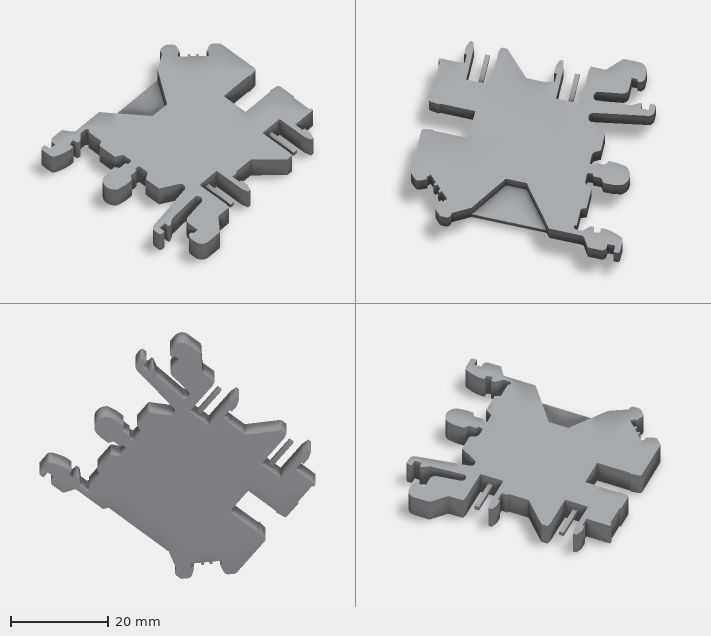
import cadquery as cq
import math


width = 42.45
height = 45.9
thickness = 5.1

side_x = 2.3
shelf_x = 3.25
edge_x = 39.3
land_y = 8.85
relief_y = 10.45
arm_y = 10.0
arm_right_x = 3.4
land_left_x = 8.5
land_slope = 0.5
arm_relief_width = 0.95
head_low_y = 37.85
head_top_x = height - head_low_y
head_round = 0.3
head_round_run = head_round * math.sqrt(0.5)
cheek_low_y = 36.67
chin_x = 1.15
chin_y = 35.75
waist_x = 33.85
waist_low_y = 22.9
waist_high_y = 27.45
shoulder_y = 32.65
back_x = 34.15

bay_x = 30.75
bay_height = 5.15
bay_pitch = 19.0
bay_low_y = 15.3
bay_bottoms = [bay_low_y, bay_low_y + bay_pitch]
lead_in_run = 0.95
lead_in_drop = 0.28
finger_thickness = 1.1
finger_barb = 0.55
finger_barb_x = 36.2
finger_taper_x = 37.85
finger_tip_low = 0.35
pin_size = 1.0
pin_right_x = 37.85
pin_above_bay = 1.75

slot_left_x = 18.18
slot_right_x = 24.33
slot_floor_y = 36.05
lip_y = 43.6
lip_reach = 0.25
mouth_radius = 0.55
step_left_x = 28.65
step_right_x = 33.45
step_depth = 0.3

notch_centre = (6.3, 39.55)
notch_half = 3.15
notch_step = 1.1
notch_lip_half = 2.7
notch_tip = (3.2, 2.45)
notch_cheek = (3.45, 2.9)
notch_cheek_mid = (3.7, 3.1)
notch_mouth_half = 4.15
notch_depth = 3.2
rib_pitch = 1.75
rib_width = 0.55
rib_length = 0.55

pocket_floor_z = 1.5
pocket_right_x = 11.1
pocket_top_y = 32.0
pocket_inner_top_y = 26.55
pocket_inner_low_y = 22.12
pocket_low_y = 16.1
pocket_exit_x = 2.5
pocket_exit_y = 15.5
pocket_round_y = 14.85

foot_x = 17.15
neck_half = 1.0
neck_fillet = 0.4
neck_low_y = 9.3
stem_half = 1.5
stem_top_y = 9.2
stem_low_y = 7.4
bulb_half = 2.5
bulb_top_y = 6.75
bulb_side_y = 4.9
bulb_low_half = 2.15
bulb_low_y = 3.05
bulb_bottom_y = 1.75
bulb_rise = bulb_low_y - bulb_bottom_y
bulb_radius = (bulb_low_half**2 + bulb_rise**2) / (2 * bulb_rise)

relief_x = 17.25
relief_half = 2.9
flank_half = 3.7
flank_y = 10.0
land_half = 4.3

land_right_x = 25.35
gap_y = 12.4
gap_rise = 0.65
gap_width = 1.95
spring_left_x = 29.35
spring_right_x = 32.2
hook_left_x = spring_right_x + gap_width

toe_top_y = 1.3
notch_top_y = 2.9

ankle_y = 8.55
ankle_turn_x = 1.8
ankle_turn_y = 7.8
instep_x = 0.15
instep_y = 6.75
foot_top_y = 6.5
heel_radius = 1.0
left_notch_x = 1.65
left_toe_x = 0.2
toe_radius = 0.5
sole_right_x = 3.0
sole_corner = (3.8, 0.5)
shin_mid = (4.45, 2.15)
shin_x = 4.8
shin_y = 3.95
groove_low_x = 3.75
groove_low_y = 4.95
groove_high_x = 3.55
groove_high_y = 6.2
catch_x = 4.75
catch_low_y = 6.43
catch_high_y = 7.2
lead_in_y = 8.6

spring_heel_x = 31.25
spring_heel_y = 1.0
spring_sole_x = 32.45
spring_toe_x = 34.0
toe_chamfer = 0.3
spring_notch_x = 32.55
spring_catch_x = 33.7
spring_catch_y = 3.35
spring_calf_x = 32.75
spring_calf_y = 4.95

hook_heel_x = 34.9
hook_heel_y = 7.35
hook_rail_x = 36.1
hook_rail_y = 6.25
hook_throat_x = 38.7
hook_throat_y = 5.05
hook_tip_x = 38.2
hook_tip_high_y = 4.85
hook_tip_low_y = 4.18
hook_nose_x = 38.55
hook_nose_y = 3.8
hook_sole_x = 39.47
hook_sole_y = 3.55
hook_radius = 1.95
hook_shoulder_y = 8.55
hook_slope_low_x = 41.95
hook_slope_low_y = 9.35
hook_slope_high_x = 39.55
hook_slope_high_y = 11.55
hook_top_y = 11.95


def plate(outline, depth=thickness):
    """Close an XY outline and extrude it upwards."""
    return outline.close().extrude(depth)


def polygon(points, depth=thickness):
    """Extrude a straight-sided outline upwards."""
    return plate(cq.Workplane("XY").polyline(points), depth)


def make_housing():
    gap_left_x = spring_left_x - gap_width
    outline = (
        cq.Workplane("XY")
        .moveTo(side_x, arm_y)
        .lineTo(arm_right_x, arm_y)
        .threePointArc(
            (arm_right_x + arm_relief_width / 2, relief_y),
            (arm_right_x + arm_relief_width, arm_y),
        )
        .lineTo(land_left_x - land_slope, arm_y)
        .lineTo(land_left_x, land_y)
        .lineTo(relief_x - land_half, land_y)
        .lineTo(relief_x - flank_half, flank_y)
        .tangentArcPoint((relief_x - relief_half, relief_y), relative=False)
        .lineTo(relief_x + relief_half, relief_y)
        .tangentArcPoint((relief_x + flank_half, flank_y), relative=False)
        .lineTo(relief_x + land_half, land_y)
        .lineTo(land_right_x, land_y)
        .lineTo(gap_left_x, gap_y)
        .threePointArc((gap_left_x + gap_width / 2, gap_y + gap_rise), (spring_left_x, gap_y))
        .lineTo(spring_right_x, gap_y)
        .threePointArc((spring_right_x + gap_width / 2, gap_y + gap_rise), (hook_left_x, gap_y))
        .lineTo(edge_x, gap_y)
    )
    for bay_y in bay_bottoms:
        outline = (
            outline
            .lineTo(edge_x, bay_y - lead_in_drop)
            .lineTo(edge_x - lead_in_run, bay_y)
            .lineTo(bay_x, bay_y)
            .lineTo(bay_x, bay_y + bay_height)
            .lineTo(back_x, bay_y + bay_height)
        )
        if bay_y == bay_low_y:
            outline = (
                outline
                .lineTo(back_x, waist_low_y)
                .lineTo(waist_x, waist_low_y)
                .lineTo(waist_x, waist_high_y)
                .lineTo(edge_x, shoulder_y)
            )
    outline = (
        outline
        .lineTo(back_x, height)
        .lineTo(head_top_x + head_round, height)
        .tangentArcPoint((head_top_x - head_round_run, height - head_round_run), relative=False)
        .lineTo(head_round_run, head_low_y + head_round_run)
        .tangentArcPoint((0, head_low_y - head_round), relative=False)
        .lineTo(0, cheek_low_y)
        .tangentArcPoint((chin_x, chin_y), relative=False)
        .lineTo(shelf_x, pocket_top_y)
        .lineTo(shelf_x, pocket_low_y)
        .lineTo(pocket_exit_x, pocket_exit_y)
        .tangentArcPoint((side_x, pocket_round_y), relative=False)
    )
    return plate(outline)


def make_finger(bay_y):
    """Barbed finger along the upper side of a bay."""
    low_y = bay_y + bay_height
    top_y = low_y + finger_thickness
    barb_y = top_y + finger_barb
    return polygon([
        (bay_x, low_y),
        (finger_taper_x, low_y),
        (edge_x, low_y + finger_tip_low),
        (edge_x, top_y),
        (finger_taper_x, barb_y),
        (finger_barb_x, barb_y),
        (finger_barb_x, top_y),
        (bay_x, top_y),
    ])


def make_pin(bay_y):
    """Square contact pin at mid thickness, crossing a bay from its back wall."""
    return cq.Workplane("XY").box(
        pin_right_x - bay_x, pin_size, pin_size, centered=(False, False, True)
    ).translate((bay_x, bay_y + pin_above_bay, thickness / 2))


def make_wire_slot():
    """Slot from the top edge, narrowed at its mouth by two tapered lips."""
    round_y = height - mouth_radius
    outline = (
        cq.Workplane("XY")
        .moveTo(slot_left_x - mouth_radius, height)
        .radiusArc((slot_left_x, round_y), mouth_radius)
        .lineTo(slot_left_x + lip_reach, lip_y)
        .lineTo(slot_left_x, lip_y)
        .lineTo(slot_left_x, slot_floor_y)
        .lineTo(slot_right_x, slot_floor_y)
        .lineTo(slot_right_x, lip_y)
        .lineTo(slot_right_x - lip_reach, lip_y)
        .lineTo(slot_right_x, round_y)
        .radiusArc((slot_right_x + mouth_radius, height), mouth_radius)
    )
    return plate(outline)


def make_top_step():
    return cq.Workplane("XY").box(
        step_right_x - step_left_x, step_depth, thickness, centered=False
    ).translate((step_left_x, height - step_depth, 0))


def head_plane():
    """Plane with x along the slanted head and y pointing out of it."""
    return cq.Workplane(cq.Plane(origin=(*notch_centre, 0), xDir=(1, 1, 0), normal=(0, 0, 1)))


def make_marker_notch():
    tip_x, tip_y = notch_tip
    cheek_x, cheek_y = notch_cheek
    mid_x, mid_y = notch_cheek_mid
    clear_y = notch_depth + 0.45
    outline = (
        head_plane()
        .moveTo(-notch_half, 0)
        .lineTo(notch_half, 0)
        .lineTo(notch_half, notch_step)
        .lineTo(notch_lip_half, notch_step)
        .lineTo(tip_x, tip_y)
        .lineTo(cheek_x, cheek_y)
        .threePointArc((mid_x, mid_y), (notch_mouth_half, notch_depth))
        .lineTo(notch_mouth_half, clear_y)
        .lineTo(-notch_mouth_half, clear_y)
        .lineTo(-notch_mouth_half, notch_depth)
        .threePointArc((-mid_x, mid_y), (-cheek_x, cheek_y))
        .lineTo(-tip_x, tip_y)
        .lineTo(-notch_lip_half, notch_step)
        .lineTo(-notch_half, notch_step)
    )
    return plate(outline)


def make_marker_ribs():
    """Two ribs on the notch floor, sunk slightly into it."""
    sink = 0.25
    return (
        head_plane()
        .center(0, (rib_length - sink) / 2)
        .rarray(rib_pitch, 0.45, 2, 1)
        .rect(rib_width, rib_length + sink)
        .extrude(thickness)
    )


def make_pocket():
    return polygon([
        (shelf_x, pocket_top_y),
        (pocket_right_x, pocket_inner_top_y),
        (pocket_right_x, pocket_inner_low_y),
        (shelf_x, pocket_low_y),
    ]).translate((0, 0, pocket_floor_z))


def make_left_foot():
    outline = (
        cq.Workplane("XY")
        .moveTo(arm_right_x, arm_y)
        .lineTo(side_x, arm_y)
        .lineTo(side_x, ankle_y)
        .tangentArcPoint((ankle_turn_x, ankle_turn_y), relative=False)
        .lineTo(instep_x, instep_y)
        .tangentArcPoint((0, foot_top_y), relative=False)
        .lineTo(0, notch_top_y + heel_radius)
        .tangentArcPoint((heel_radius, notch_top_y), relative=False)
        .lineTo(left_notch_x, notch_top_y)
        .lineTo(left_notch_x, toe_top_y)
        .lineTo(left_toe_x, toe_top_y)
        .lineTo(left_toe_x, toe_radius)
        .tangentArcPoint((left_toe_x + toe_radius, 0), relative=False)
        .lineTo(sole_right_x, 0)
        .tangentArcPoint(sole_corner, relative=False)
        .threePointArc(shin_mid, (shin_x, shin_y))
        .lineTo(shin_x, groove_low_y)
        .lineTo(groove_low_x, groove_low_y)
        .lineTo(groove_high_x, groove_high_y)
        .lineTo(catch_x, catch_low_y)
        .lineTo(catch_x, catch_high_y)
        .lineTo(arm_right_x, lead_in_y)
    )
    return plate(outline)


def make_centre_foot():
    """Bulb on a stepped neck; the right half is drawn and mirrored."""
    half = (
        cq.Workplane("XY")
        .moveTo(0, relief_y)
        .lineTo(neck_half + neck_fillet, relief_y)
        .radiusArc((neck_half, relief_y - neck_fillet), -neck_fillet)
        .lineTo(neck_half, neck_low_y)
        .lineTo(stem_half, stem_top_y)
        .lineTo(stem_half, stem_low_y)
        .lineTo(bulb_half, bulb_top_y)
        .lineTo(bulb_half, bulb_side_y)
        .lineTo(bulb_low_half, bulb_low_y)
        .radiusArc((0, bulb_bottom_y), bulb_radius)
    )
    half = plate(half)
    return half.union(half.mirror("YZ")).translate((foot_x, 0, 0))


def make_spring_leg():
    outline = (
        cq.Workplane("XY")
        .moveTo(spring_left_x, gap_y)
        .lineTo(spring_heel_x, spring_heel_y)
        .tangentArcPoint((spring_sole_x, 0), relative=False)
        .lineTo(spring_toe_x - toe_chamfer, 0)
        .lineTo(spring_toe_x, toe_chamfer)
        .lineTo(spring_toe_x, toe_top_y)
        .lineTo(spring_notch_x, toe_top_y)
        .lineTo(spring_notch_x, notch_top_y)
        .lineTo(spring_catch_x, notch_top_y)
        .lineTo(spring_catch_x, spring_catch_y)
        .lineTo(spring_calf_x, spring_calf_y)
        .lineTo(spring_right_x, gap_y)
    )
    return plate(outline)


def make_hook_leg():
    outline = (
        cq.Workplane("XY")
        .moveTo(hook_left_x, gap_y)
        .lineTo(hook_heel_x, hook_heel_y)
        .tangentArcPoint((hook_rail_x, hook_rail_y), relative=False)
        .lineTo(hook_throat_x, hook_rail_y)
        .lineTo(hook_throat_x, hook_throat_y)
        .lineTo(hook_tip_x, hook_tip_high_y)
        .lineTo(hook_tip_x, hook_tip_low_y)
        .lineTo(hook_nose_x, hook_nose_y)
        .tangentArcPoint((hook_sole_x, hook_sole_y), relative=False)
        .lineTo(width - hook_radius, hook_sole_y)
        .tangentArcPoint((width, hook_sole_y + hook_radius), relative=False)
        .lineTo(width, hook_shoulder_y)
        .tangentArcPoint((hook_slope_low_x, hook_slope_low_y), relative=False)
        .lineTo(hook_slope_high_x, hook_slope_high_y)
        .lineTo(edge_x, hook_top_y)
        .lineTo(edge_x, gap_y)
    )
    return plate(outline)


result = (
    make_housing()
    .cut(make_wire_slot())
    .cut(make_top_step())
    .cut(make_marker_notch())
    .cut(make_pocket())
    .union(make_marker_ribs())
    .union(make_left_foot())
    .union(make_centre_foot())
    .union(make_spring_leg())
    .union(make_hook_leg())
)
for bay_bottom_y in bay_bottoms:
    result = result.union(make_finger(bay_bottom_y)).union(make_pin(bay_bottom_y))